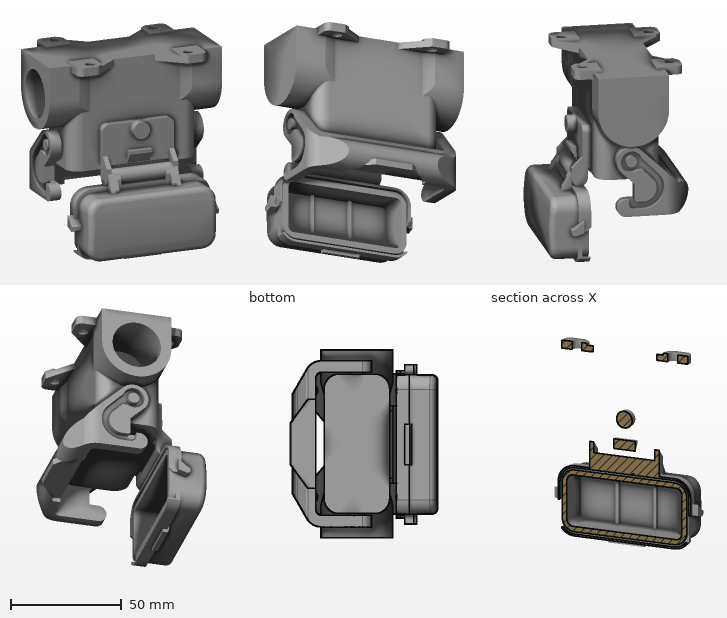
import cadquery as cq
import math


overlap = 0.9

tub_half_x = 14.8
tub_half_y = 31.5
tub_depth = 51.2
tub_corner = 6.5
barrel_radius = 16.25
barrel_half_length = 85.0 / 2
barrel_axis_z = -16.5
barrel_shoulder_y = 27.8
barrel_waist_y = 22.2
bore_radius = 11.3
bore_depth = 27.9

flange_bottom = -3.1
flange_waist_y = 10.0
pad_height = 0.9
pad_outer_x = 25.0
pad_inner_x = 12.4
pad_outer_y = 31.8
pad_inner_y = 19.1
pad_bevel_y = 22.1
pad_corner = 3.1
pad_hole_x = 20.15
pad_hole_y = 24.05
pad_hole_radius = 4.7 / 2

lever_half_y = 37.6
lever_inner_y = 32.3
lever_inner_x = -18.6
lever_inner_corner = 2.8
lever_bottom = -67.1
pivot_z = -41.3
pivot_eye_radius = 6.8
pin_radius = 5.1 / 2
spacer_radius = 7.0 / 2
grip_radius = 7.0
grip_x = -22.2
grip_z = lever_bottom + grip_radius
grip_step = 0.4
hook_radius = 4.0
hook_tip_x = 6.5
slot_x = -1.5
lever_corner = 7.7
lever_corner_x = -16.0
facet_angle = 60.0

groove_depth = 2.8
groove_eye_radius = 4.9
groove_x = -5.4
groove_z = -54.1
groove_outer = 9.7
groove_inner = 6.1
groove_step_z = -45.3
groove_exit_x = 1.2
groove_exit_radius = 2.7
groove_bevel = 0.7

rib_pitch = 7.8
rib_first_angle = 98.1
rib_count = 22
rib_flat_depth = 0.065
label_half_y = 7.5
label_top_angle = 140.0
label_bottom_angle = 200.0
tab_x = -30.1
tab_top = -62.4
tab_bottom = -65.2
tab_half_y = 9.3
tab_root_half_y = 20.1

rear_y = 0.3
bracket_x = 18.8
bracket_top = -29.3
bracket_half_y = 17.55
bracket_corner = 3.2
bracket_bottom = -50.9
lug_width = 2.3
hinge_outer_x = 23.6
hinge_inner_x = 16.25
hinge_radius = (hinge_outer_x - hinge_inner_x) / 2
hinge_x = hinge_inner_x + hinge_radius
hinge_z = -53.7
lug_shoulder_z = -44.0
lug_back_z = -48.65
screw_z = -32.8
screw_radius = 4.0
screw_x = 22.75
washer_radius = 4.2
washer_thickness = 0.8
spring_half_y = 5.6
spring_x = 21.8
spring_top = -42.25

cover_half_y = 31.5
cover_top = -59.1
cover_bottom = -88.6
cover_back_x = 36.6
cover_corner = 6.5
cover_edge = 2.8
cover_crown = 1.5
cover_rim_x = 21.5
seal_x = 18.4
mouth_gap = 0.7
seal_inset = 0.1
collar_x = 17.8
collar_back_x = 23.6
collar_margin = 1.9
cheek_bottom = -74.1
cheek_bevel = 1.9
cavity_wall = 2.8
cavity_half_y = cover_half_y - cavity_wall
cavity_bottom = cover_bottom + cavity_wall
cavity_top = cover_top - cavity_wall
cavity_floor_x = cover_back_x - cavity_wall
cavity_corner = 2.8
stiffener_y = 9.5
stiffener_width = 1.3
stiffener_x = 31.6

gusset_top = -51.25
gusset_x = 28.3
gusset_inner_y = 11.1
gusset_outer_y = 17.1
gusset_steps = [(27.6, 14.95), (25.1, 13.1)]
hinge_land_x = 24.4
ear_half_y = 36.0
ear_x = 27.1
ear_top = -68.8
ear_bottom = -75.4
ear_tip_height = 3.25
ear_tip_bevel = 1.4
bottom_lip_half_y = 9.1
bottom_lip_z = -91.9
bottom_lip_root_x = 24.7
bottom_lip_x = 24.0


def box(x0, x1, y0, y1, z0, z1):
    return cq.Workplane("XY").box(x1 - x0, y1 - y0, z1 - z0, centered=False).translate((x0, y0, z0))


def side_profile():
    """Sketch plane with X right and Z up; positive extrusion runs towards -Y."""
    return cq.Workplane("XZ")


def along_y(profile, y0, y1):
    """Extrude an XZ profile between two Y positions."""
    return profile.extrude(y1 - y0).translate((0, y1, 0))


def rounded_block(x0, x1, half_y, z0, z1, corner):
    """Block behind the housing whose four edges along X are rounded."""
    return box(x0, x1, rear_y - half_y, rear_y + half_y, z0, z1).edges("|X").fillet(corner)


def four_corners(solid):
    """Copy a solid from the +X +Y quadrant into all four quadrants."""
    pair = solid.union(solid.mirror("YZ"))
    return pair.union(pair.mirror("XZ"))


def make_housing():
    tub = box(-tub_half_x, tub_half_x, -tub_half_y, tub_half_y, -tub_depth, 0)
    tub = tub.edges("|Z").fillet(tub_corner)
    barrel = along_y(
        side_profile()
        .moveTo(-barrel_radius, 0)
        .lineTo(-barrel_radius, barrel_axis_z)
        .threePointArc((0, barrel_axis_z - barrel_radius), (barrel_radius, barrel_axis_z))
        .lineTo(barrel_radius, 0)
        .close(),
        -barrel_half_length,
        barrel_half_length,
    )
    quarter = [
        (tub_half_x, 0),
        (tub_half_x, barrel_waist_y),
        (barrel_radius, barrel_shoulder_y),
        (barrel_radius, barrel_half_length),
        (0, barrel_half_length),
        (0, 0),
    ]
    waist = cq.Workplane("XY").polyline(quarter).close().extrude(-tub_depth)
    barrel = barrel.intersect(four_corners(waist))
    bore = along_y(
        side_profile().center(0, barrel_axis_z).circle(bore_radius),
        -barrel_half_length,
        -barrel_half_length + bore_depth,
    )
    return tub.union(barrel).cut(bore)


def make_flange():
    quarter = [
        (0, 0),
        (tub_half_x, 0),
        (tub_half_x, flange_waist_y),
        (pad_outer_x, pad_bevel_y),
        (pad_outer_x, pad_outer_y),
        (0, pad_outer_y),
    ]
    plate = cq.Workplane("XY").polyline(quarter).close().extrude(pad_height - flange_bottom)
    plate = plate.translate((0, 0, flange_bottom))
    plate = plate.edges("|Z").edges(">X and >Y").fillet(pad_corner)
    plate = plate.cut(box(0, pad_inner_x, 0, pad_outer_y, 0, pad_height))
    plate = plate.cut(box(0, pad_outer_x, 0, pad_inner_y, 0, pad_height))
    hole = cq.Workplane("XY").center(pad_hole_x, pad_hole_y).circle(pad_hole_radius)
    plate = plate.cut(hole.extrude(pad_height - flange_bottom).translate((0, 0, flange_bottom)))
    return four_corners(plate)


def make_lever_blank():
    """Side outline of the lever over its full width, before the middle is opened."""
    run = -grip_x
    rise = pivot_z - (grip_z + grip_radius + grip_step)
    slope = math.atan2(rise, run) + math.asin(pivot_eye_radius / math.hypot(run, rise))
    eye_x = pivot_eye_radius * math.sin(slope)
    eye_z = pivot_eye_radius * math.cos(slope)
    slot_corner_z = pivot_z - eye_z - (eye_x - slot_x) * math.tan(slope)
    hook_top = lever_bottom + 2 * hook_radius
    outline = (
        side_profile()
        .moveTo(grip_x, lever_bottom)
        .threePointArc((grip_x - grip_radius, grip_z), (grip_x, grip_z + grip_radius))
        .lineTo(grip_x, grip_z + grip_radius + grip_step)
        .lineTo(-eye_x, pivot_z + eye_z)
        .threePointArc((eye_z, pivot_z + eye_x), (eye_x, pivot_z - eye_z))
        .lineTo(slot_x, slot_corner_z)
        .lineTo(slot_x, hook_top)
        .lineTo(hook_tip_x - hook_radius, hook_top)
        .threePointArc(
            (hook_tip_x, lever_bottom + hook_radius),
            (hook_tip_x - hook_radius, lever_bottom),
        )
        .close()
    )
    return along_y(outline, -lever_half_y, lever_half_y)


def make_lever_plan():
    """Plan limit of the lever: round corners running into slanted grip facets."""
    turn = math.radians(facet_angle)
    arc_y = lever_half_y - lever_corner
    half_turn_point = (
        lever_corner_x - lever_corner * math.sin(turn / 2),
        arc_y + lever_corner * math.cos(turn / 2),
    )
    facet_start = (
        lever_corner_x - lever_corner * math.sin(turn),
        arc_y + lever_corner * math.cos(turn),
    )
    front_x = grip_x - grip_radius
    facet_end = (front_x, facet_start[1] - (facet_start[0] - front_x) * math.tan(turn))
    half = (
        cq.Workplane("XY")
        .moveTo(hook_tip_x + overlap, 0)
        .lineTo(hook_tip_x + overlap, lever_half_y)
        .lineTo(lever_corner_x, lever_half_y)
        .threePointArc(half_turn_point, facet_start)
        .lineTo(*facet_end)
        .lineTo(front_x, 0)
        .close()
        .extrude(lever_bottom)
    )
    return half.union(half.mirror("XZ"))


def make_cam_groove():
    """Ring around the pin running into a hooked track that opens into the slot."""
    diagonal = math.sqrt(0.5)
    outer_tangent = (groove_x - groove_outer * diagonal, groove_z + groove_outer * diagonal)
    inner_tangent = (groove_x - groove_inner * diagonal, groove_z + groove_inner * diagonal)
    outer_end_x = (pivot_z - outer_tangent[1] + outer_tangent[0]) / 2
    outer_end = (outer_end_x, outer_end_x - outer_tangent[0] + outer_tangent[1])
    step_x = inner_tangent[0] + groove_step_z - inner_tangent[1]
    ring_x = -math.sqrt(groove_eye_radius**2 - (groove_step_z - pivot_z) ** 2)
    floor_z = groove_z - groove_outer
    exit_z = lever_bottom + 2 * hook_radius
    exit_arc_x = groove_exit_x - groove_exit_radius
    track = (
        side_profile()
        .moveTo(*outer_end)
        .lineTo(*outer_tangent)
        .threePointArc(
            (groove_x - groove_outer * diagonal, groove_z - groove_outer * diagonal),
            (groove_x, floor_z),
        )
        .lineTo(exit_arc_x, floor_z)
        .tangentArcPoint((groove_exit_x, floor_z + groove_exit_radius), relative=False)
        .lineTo(groove_exit_x, exit_z)
        .lineTo(slot_x, exit_z)
        .lineTo(slot_x, groove_z - groove_inner + groove_bevel)
        .lineTo(slot_x - groove_bevel, groove_z - groove_inner)
        .lineTo(groove_x, groove_z - groove_inner)
        .threePointArc(
            (groove_x - groove_inner * diagonal, groove_z - groove_inner * diagonal),
            inner_tangent,
        )
        .lineTo(step_x, groove_step_z)
        .lineTo(ring_x, groove_step_z)
        .close()
    )
    y0 = -lever_half_y
    y1 = y0 + groove_depth
    ring = along_y(side_profile().center(0, pivot_z).circle(groove_eye_radius), y0, y1)
    pin = along_y(side_profile().center(0, pivot_z).circle(pin_radius), y0, y1)
    return along_y(track, y0, y1).union(ring).cut(pin)


def cut_grip_ribs(lever):
    """Narrow flats that meet in ridges around the grip, left out on the round label area."""
    flat_x = grip_radius - rib_flat_depth
    flat_end_x = grip_radius + overlap
    half_width = grip_radius * math.tan(math.radians(rib_pitch))
    label_gap = box(flat_x, flat_end_x, -label_half_y, label_half_y, -half_width, half_width)
    for i in range(rib_count):
        angle = rib_first_angle + i * rib_pitch
        cutter = box(flat_x, flat_end_x, -lever_half_y, lever_half_y, -half_width, half_width)
        if label_top_angle < angle < label_bottom_angle:
            cutter = cutter.cut(label_gap)
        cutter = cutter.rotate((0, 0, 0), (0, 1, 0), -angle).translate((grip_x, 0, grip_z))
        lever = lever.cut(cutter)
    return lever


def add_thumb_tab(lever):
    """Tapered tab under the grip, with the grip cut away below it."""
    plan = [
        (tab_x, -tab_half_y),
        (grip_x, -tab_root_half_y),
        (lever_inner_x, -tab_root_half_y),
        (lever_inner_x, tab_root_half_y),
        (grip_x, tab_root_half_y),
        (tab_x, tab_half_y),
    ]
    block = cq.Workplane("XY").polyline(plan).close().extrude(lever_bottom)
    plate = block.intersect(box(tab_x, 0, -lever_half_y, lever_half_y, tab_bottom, tab_top))
    relief = block.intersect(box(tab_x, 0, -lever_half_y, lever_half_y, lever_bottom, tab_bottom))
    return lever.cut(relief).union(plate)


def make_lever():
    lever = make_lever_blank().intersect(make_lever_plan())
    opening = box(lever_inner_x, hook_tip_x + overlap, -lever_inner_y, lever_inner_y, lever_bottom, 0)
    lever = lever.cut(opening.edges("|Z and <X").fillet(lever_inner_corner))
    groove = make_cam_groove()
    lever = lever.cut(groove).cut(groove.mirror("XZ"))
    lever = add_thumb_tab(cut_grip_ribs(lever))
    spacer = along_y(
        side_profile().center(0, pivot_z).circle(spacer_radius),
        tub_half_y - overlap,
        lever_inner_y + overlap,
    )
    return lever.union(spacer).union(spacer.mirror("XZ"))


def make_bracket():
    y0 = rear_y - bracket_half_y
    y1 = rear_y + bracket_half_y
    plate = box(tub_half_x - overlap, bracket_x, y0, y1, lug_back_z, bracket_top)
    plate = plate.edges("|X and >Z").fillet(bracket_corner)
    foot = box(
        tub_half_x - overlap,
        hinge_inner_x,
        y0 + lug_width,
        y1 - lug_width,
        bracket_bottom,
        lug_back_z,
    )
    plate = plate.union(foot)
    diagonal_end_z = lug_shoulder_z - (hinge_outer_x - bracket_x)
    lug = (
        side_profile()
        .moveTo(hinge_inner_x, lug_shoulder_z)
        .lineTo(bracket_x, lug_shoulder_z)
        .lineTo(hinge_outer_x, diagonal_end_z)
        .lineTo(hinge_outer_x, hinge_z)
        .threePointArc((hinge_x, hinge_z - hinge_radius), (hinge_inner_x, hinge_z))
        .close()
        .extrude(lug_width)
    )
    bracket = plate.union(lug.translate((0, y0 + lug_width, 0))).union(lug.translate((0, y1, 0)))
    knuckle = along_y(side_profile().center(hinge_x, hinge_z).circle(hinge_radius), y0, y1)

    washer = cq.Workplane("YZ").center(rear_y, screw_z).circle(washer_radius)
    screw = cq.Workplane("YZ").center(rear_y, screw_z).circle(screw_radius)
    bracket = bracket.union(washer.extrude(washer_thickness).translate((bracket_x, 0, 0)))
    bracket = bracket.union(screw.extrude(screw_x - bracket_x).translate((bracket_x, 0, 0)))

    spring_drop = spring_x - bracket_x
    spring = side_profile().polyline(
        [
            (bracket_x - overlap, spring_top),
            (spring_x, spring_top),
            (spring_x, spring_top - spring_drop / 2),
            (bracket_x, spring_top - 2 * spring_drop),
            (bracket_x - overlap, spring_top - 2 * spring_drop),
        ]
    ).close()
    spring = along_y(spring, rear_y - spring_half_y, rear_y + spring_half_y)
    return bracket.union(knuckle).union(spring)


def make_collar():
    """Wide collar round the cover mouth: full cheeks above, only a bottom lip below."""
    half_y = cover_half_y + collar_margin
    collar = rounded_block(
        collar_x,
        collar_back_x,
        half_y,
        cover_bottom - collar_margin,
        cover_top + collar_margin,
        cover_corner + collar_margin,
    )
    cheeks = side_profile().polyline(
        [
            (collar_x, 0),
            (collar_x, cheek_bottom + cheek_bevel),
            (collar_x + cheek_bevel, cheek_bottom),
            (collar_back_x, cheek_bottom),
            (collar_back_x, 0),
        ]
    ).close()
    lip = side_profile().polyline(
        [
            (collar_x, cover_bottom - collar_margin),
            (collar_x, cover_bottom + collar_margin),
            (cover_rim_x, cover_bottom + collar_margin),
            (cover_rim_x, cheek_bottom),
            (collar_back_x, cheek_bottom),
            (collar_back_x, cover_bottom - collar_margin),
        ]
    ).close()
    allowed = along_y(cheeks, rear_y - half_y, rear_y + half_y)
    allowed = allowed.union(along_y(lip, rear_y - cover_half_y, rear_y + cover_half_y))
    mouth = rounded_block(
        collar_x,
        cover_rim_x,
        cover_half_y + mouth_gap,
        cover_bottom - mouth_gap,
        cover_top + mouth_gap,
        cover_corner + mouth_gap,
    )
    return collar.intersect(allowed).cut(mouth)


def make_gusset():
    """Triangular rib from the hinge knuckle down to the cover, stepped in plan."""
    root_z = cover_top - overlap
    triangle = side_profile().polyline(
        [
            (hinge_outer_x, root_z),
            (hinge_outer_x, gusset_top),
            (gusset_x, cover_top),
            (gusset_x, root_z),
        ]
    ).close()
    gusset = along_y(triangle, gusset_inner_y, gusset_outer_y)
    for step_x, step_y in gusset_steps:
        gusset = gusset.cut(box(step_x, gusset_x, gusset_inner_y, step_y, root_z, gusset_top))
    return gusset


def make_ear():
    outline = side_profile().polyline(
        [
            (cover_rim_x, ear_top),
            (ear_x - ear_tip_bevel, ear_bottom + ear_tip_height),
            (ear_x, ear_bottom + ear_tip_height - ear_tip_bevel / 2),
            (ear_x, ear_bottom + ear_tip_bevel / 2),
            (ear_x - ear_tip_bevel, ear_bottom),
            (cover_rim_x, cheek_bottom),
        ]
    ).close()
    return along_y(outline, cover_half_y - overlap, ear_half_y)


def make_bottom_lip():
    outline = side_profile().polyline(
        [
            (cover_rim_x, cover_bottom),
            (bottom_lip_root_x, cover_bottom),
            (bottom_lip_x, bottom_lip_z),
            (cover_rim_x, bottom_lip_z),
        ]
    ).close()
    return along_y(outline, rear_y - bottom_lip_half_y, rear_y + bottom_lip_half_y)


def make_cover():
    cover = rounded_block(cover_rim_x, cover_back_x, cover_half_y, cover_bottom, cover_top, cover_corner)
    crown = (
        side_profile()
        .moveTo(cover_rim_x, cover_bottom)
        .lineTo(cover_back_x - cover_crown, cover_bottom)
        .threePointArc(
            (cover_back_x, (cover_bottom + cover_top) / 2),
            (cover_back_x - cover_crown, cover_top),
        )
        .lineTo(cover_rim_x, cover_top)
        .close()
    )
    cover = cover.intersect(along_y(crown, rear_y - cover_half_y, rear_y + cover_half_y))
    cover = cover.faces(">X").edges().fillet(cover_edge)
    seal = rounded_block(
        seal_x,
        cover_rim_x,
        cover_half_y - seal_inset,
        cover_bottom + seal_inset,
        cover_top - seal_inset,
        cover_corner - seal_inset,
    )
    cover = cover.union(make_collar()).union(seal)
    hinge_land = box(
        collar_back_x,
        hinge_land_x,
        rear_y - gusset_outer_y,
        rear_y + gusset_outer_y,
        cover_top - overlap,
        cover_top + collar_margin,
    )
    cover = cover.union(hinge_land)
    cavity = rounded_block(
        seal_x, cavity_floor_x, cavity_half_y, cavity_bottom, cavity_top, cavity_corner
    )
    cover = cover.cut(cavity).union(make_bottom_lip())

    paired = make_gusset().translate((0, rear_y, 0))
    paired = paired.union(make_ear().translate((0, rear_y, 0)))
    stiffener = box(
        stiffener_x,
        cover_back_x - cover_edge,
        rear_y + stiffener_y - stiffener_width / 2,
        rear_y + stiffener_y + stiffener_width / 2,
        cavity_bottom,
        cavity_top,
    )
    paired = paired.union(stiffener)
    return cover.union(paired).union(paired.mirror("XZ", (0, rear_y, 0)))


result = make_housing().union(make_flange()).union(make_lever()).union(make_bracket()).union(make_cover())